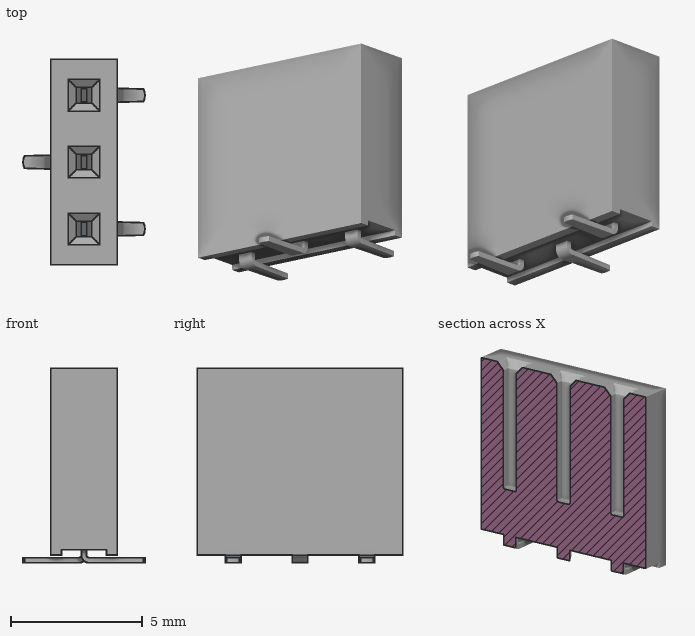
import cadquery as cq


CONTACT_COUNT = 3
PITCH = 2.54

HOUSING_WIDTH = 2.54
HOUSING_LENGTH = 7.82
TOP_Z = 7.4
STANDOFF = 0.3
FOOT_HEIGHT = 0.2
CHANNEL_WIDTH = 1.7

FUNNEL_MOUTH = 1.2
SHAFT_SIDE = 0.6
FUNNEL_DEPTH = (FUNNEL_MOUTH - SHAFT_SIDE) / 2
SHAFT_DEPTH = 5.0
SHAFT_FLOOR_Z = TOP_Z - SHAFT_DEPTH

SHEET = 0.2
LEAD_REACH = 2.32
LEAD_WIDTH = 0.6
TIP_WIDTH = 0.48
TIP_CROWN = 0.06
INNER_BEND = 0.1
OUTER_BEND = INNER_BEND + SHEET

SEAT_MOUTH = SHAFT_SIDE
SEAT_BASE = 0.5
SEAT_DEPTH = (SEAT_MOUTH - SEAT_BASE) / 2
SEAT_FLOOR_Z = SHAFT_FLOOR_Z - SEAT_DEPTH


def contact_positions():
    """Y positions of the contacts, from -Y to +Y."""
    first = -PITCH * (CONTACT_COUNT - 1) / 2
    return [first + PITCH * i for i in range(CONTACT_COUNT)]


def make_housing():
    """Block with a channel running along Y underneath, leaving a foot on each side."""
    block = cq.Workplane("XY").workplane(offset=STANDOFF).rect(HOUSING_WIDTH, HOUSING_LENGTH)
    block = block.extrude(TOP_Z - STANDOFF)
    channel = cq.Workplane("XY").workplane(offset=STANDOFF).rect(CHANNEL_WIDTH, HOUSING_LENGTH)
    return block.cut(channel.extrude(FOOT_HEIGHT))


def make_opening(y):
    """Cutter for one pin opening: tapered funnel, straight shaft and sloped-end seat."""
    funnel = (
        cq.Workplane("XY", origin=(0, y, TOP_Z))
        .rect(FUNNEL_MOUTH, FUNNEL_MOUTH)
        .workplane(offset=-FUNNEL_DEPTH)
        .rect(SHAFT_SIDE, SHAFT_SIDE)
        .loft(ruled=True)
    )
    shaft = cq.Workplane("XY", origin=(0, y, SHAFT_FLOOR_Z)).rect(SHAFT_SIDE, SHAFT_SIDE)
    seat = (
        cq.Workplane("YZ", origin=(-SHEET / 2, y, 0))
        .moveTo(-SEAT_MOUTH / 2, SHAFT_FLOOR_Z)
        .lineTo(-SEAT_BASE / 2, SEAT_FLOOR_Z)
        .lineTo(SEAT_BASE / 2, SEAT_FLOOR_Z)
        .lineTo(SEAT_MOUTH / 2, SHAFT_FLOOR_Z)
        .close()
        .extrude(SHEET)
    )
    return funnel.union(shaft.extrude(SHAFT_DEPTH - FUNNEL_DEPTH)).union(seat)


def make_lead_strip():
    """Sheet strip bent from a vertical stem into a horizontal foot towards +X."""
    half = SHEET / 2
    bend_x = half + INNER_BEND
    return (
        cq.Workplane("XZ", origin=(0, LEAD_WIDTH / 2, 0))
        .moveTo(-half, SEAT_FLOOR_Z)
        .lineTo(-half, OUTER_BEND)
        .radiusArc((bend_x, 0), -OUTER_BEND)
        .lineTo(LEAD_REACH, 0)
        .lineTo(LEAD_REACH, SHEET)
        .lineTo(bend_x, SHEET)
        .radiusArc((half, OUTER_BEND), INNER_BEND)
        .lineTo(half, SEAT_FLOOR_Z)
        .close()
        .extrude(LEAD_WIDTH)
    )


def make_lead_plan():
    """Plan of the lead: full width through the bend, then a taper to a crowned tip."""
    bend_x = SHEET / 2 + INNER_BEND
    tip_x = LEAD_REACH - TIP_CROWN
    return (
        cq.Workplane("XY")
        .moveTo(-SHEET, -LEAD_WIDTH / 2)
        .lineTo(bend_x, -LEAD_WIDTH / 2)
        .lineTo(tip_x, -TIP_WIDTH / 2)
        .threePointArc((LEAD_REACH, 0), (tip_x, TIP_WIDTH / 2))
        .lineTo(bend_x, LEAD_WIDTH / 2)
        .lineTo(-SHEET, LEAD_WIDTH / 2)
        .close()
        .extrude(SEAT_FLOOR_Z)
    )


def make_lead():
    """Lead reaching towards +X, shaped both in profile and in plan."""
    return make_lead_strip().intersect(make_lead_plan())


def make_socket():
    """Housing with its openings cut and its leads fitted, reaching to alternate sides."""
    socket = make_housing()
    lead_right = make_lead()
    lead_left = lead_right.rotate((0, 0, 0), (0, 0, 1), 180)
    for index, y in enumerate(contact_positions()):
        lead = lead_right if index % 2 == 0 else lead_left
        socket = socket.cut(make_opening(y)).union(lead.translate((0, y, 0)))
    return socket


result = make_socket()